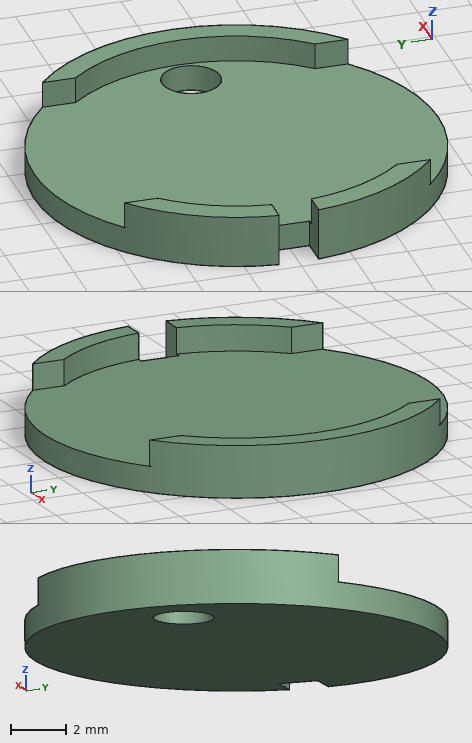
import cadquery as cq

disc_diameter = 15.3
floor_thickness = 1.0
total_height = 2.0
rim_inner_diameter = 13.5
rim_gap_width = 10.0
hole_diameter = 2.2
hole_center_x = 5.5
notch_width = 1.5
notch_bottom_x = -6.5

disc_radius = disc_diameter / 2
rim_height = total_height - floor_thickness
notch_depth = disc_radius + notch_bottom_x


def make_floor():
    """Flat round base, resting on Z = 0."""
    return cq.Workplane("XY").circle(disc_radius).extrude(floor_thickness)


def make_rim():
    """Raised ring, opened across Y to leave one arc on each X side."""
    ring = (
        cq.Workplane("XY", origin=(0, 0, floor_thickness))
        .circle(disc_radius)
        .circle(rim_inner_diameter / 2)
        .extrude(rim_height)
    )
    gap = cq.Workplane("XY", origin=(0, 0, floor_thickness)).box(
        rim_gap_width, disc_diameter, rim_height, centered=(True, True, False)
    )
    return ring.cut(gap)


def make_hole():
    """Round through hole beside the +X rim arc."""
    return (
        cq.Workplane("XY", origin=(hole_center_x, 0, 0))
        .circle(hole_diameter / 2)
        .extrude(total_height)
    )


def make_notch():
    """Full-height rectangular notch in the -X edge."""
    return cq.Workplane("XY", origin=(-disc_radius, 0, 0)).box(
        notch_depth, notch_width, total_height, centered=(False, True, False)
    )


result = make_floor().union(make_rim()).cut(make_hole()).cut(make_notch())